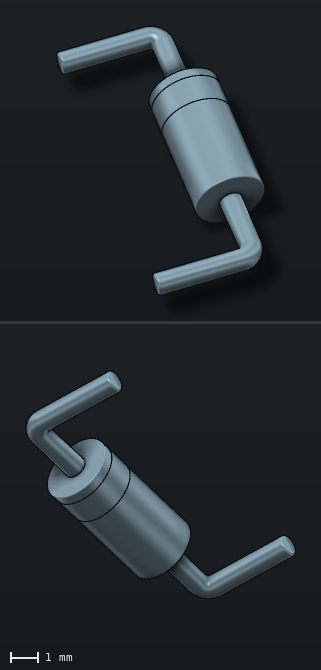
import cadquery as cq

overall_length = 11.36
body_length = 5.21
body_diameter = 2.7
body_edge_radius = 0.06
band_diameter = 2.72
band_inset = 0.4
band_width = 1.1
wire_diameter = 0.86
bend_radius = 0.5
overall_depth = 5.21
tip_radius = 0.1

leg_x = (overall_length - wire_diameter) / 2
leg_reach = overall_depth - band_diameter / 2


def make_body():
    """Cylindrical body with softened end edges."""
    cylinder = cq.Workplane("YZ").circle(body_diameter / 2).extrude(body_length / 2, both=True)
    return cylinder.edges("%CIRCLE").fillet(body_edge_radius)


def make_band():
    """Slightly raised polarity band near the -X end."""
    band_start = -body_length / 2 + band_inset
    return cq.Workplane("YZ", origin=(band_start, 0, 0)).circle(band_diameter / 2).extrude(band_width)


def make_wire():
    """One round wire through the body, bent towards -Y at both ends."""
    path = (
        cq.Workplane("XY")
        .moveTo(-leg_x, -leg_reach)
        .lineTo(-leg_x, -bend_radius)
        .radiusArc((-leg_x + bend_radius, 0), bend_radius)
        .lineTo(leg_x - bend_radius, 0)
        .radiusArc((leg_x, -bend_radius), bend_radius)
        .lineTo(leg_x, -leg_reach)
    )
    tip_plane = cq.Workplane("XZ", origin=(-leg_x, -leg_reach, 0))
    wire = tip_plane.circle(wire_diameter / 2).sweep(path)
    return wire.faces("<Y").edges().fillet(tip_radius)


result = make_body().union(make_band()).union(make_wire())